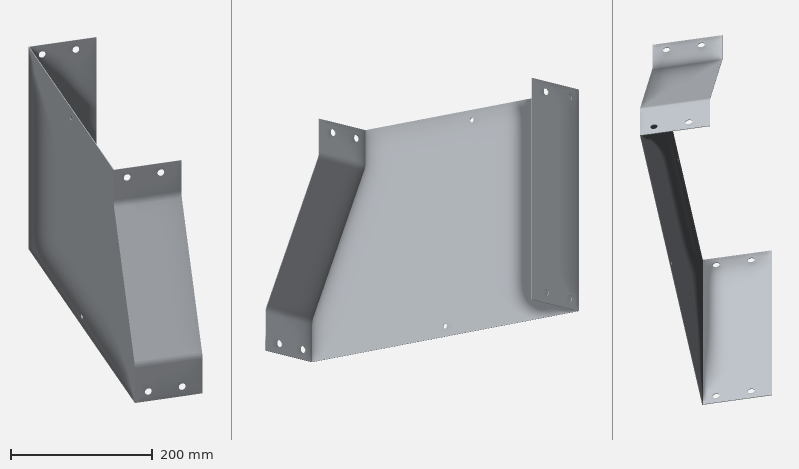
import cadquery as cq

length = 500.0
depth = 100.0
height = 320.0
thickness = 1.0

top_length = 400.0
upper_bend_z = 267.0
lower_bend_z = 60.0
lower_bend_x = 499.5
bend_radius = 20.0

hole_diameter = 7.0
flange_hole_diameter = 10.0
hole_edge_distance = 15.0
hole_heights = (hole_edge_distance, height - hole_edge_distance)
wall_hole_x = (250.0, 200.0)
flange_hole_y = (20.0, 70.0)


def side_block():
    """Solid with the front outline, rounded along the two bends."""
    block = (
        cq.Workplane("XZ")
        .polyline([
            (0, 0),
            (length, 0),
            (lower_bend_x, lower_bend_z),
            (top_length, upper_bend_z),
            (top_length, height),
            (0, height),
        ])
        .close()
        .extrude(-depth)
    )
    bend_points = [
        (lower_bend_x, depth / 2, lower_bend_z),
        (top_length, depth / 2, upper_bend_z),
    ]
    for point in bend_points:
        block = block.edges(cq.selectors.NearestToPointSelector(point)).fillet(bend_radius)
    return block


def open_tray(block):
    """Hollow the block, leaving the front wall and the two end flanges."""
    return block.faces(">Z or <Z or >Y").shell(-thickness)


def wall_holes():
    """One hole near the top and one near the bottom of the front wall."""
    points = list(zip(wall_hole_x, hole_heights))
    return cq.Workplane("XZ").pushPoints(points).circle(hole_diameter / 2).extrude(-depth / 2)


def flange_holes():
    """Two pairs of holes running through both end flanges."""
    points = [(y, z) for y in flange_hole_y for z in hole_heights]
    return cq.Workplane("YZ").pushPoints(points).circle(flange_hole_diameter / 2).extrude(length)


result = open_tray(side_block()).cut(wall_holes()).cut(flange_holes())